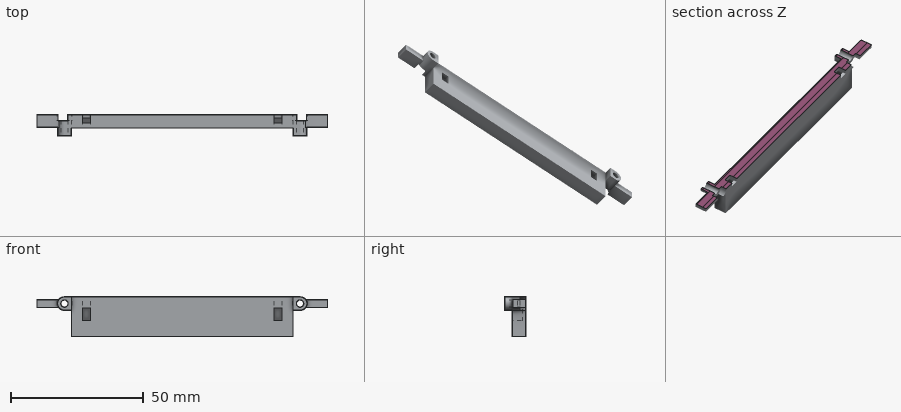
import cadquery as cq

total_length = 109.5
total_depth = 8.0

plate_length = 83.5
plate_thickness = 5.1
plate_height = 15.0

hinge_offset = 44.4
lug_diameter = 5.1
hinge_hole_diameter = 2.6
clearance_radius = 2.8
clearance_depth = 2.3

arm_thickness = 4.8
arm_height = 3.1

pocket_center = 36.0
pocket_width = 3.0
lip_thickness = 1.2
slot_back_depth = 3.2
window_top = 4.3
window_bottom = 8.9

lug_radius = lug_diameter / 2
hinge_z = -lug_radius
plate_end = plate_length / 2


def block(x_range, depth_range, drop_range):
    """Box between two X values, two depths from the back and two drops from the top."""
    x_start, x_end = x_range
    back, front = depth_range
    top, bottom = drop_range
    size = (x_end - x_start, front - back, bottom - top)
    return cq.Workplane("XY").box(*size, centered=False).translate((x_start, -front, -bottom))


def hinge_cylinder(radius, back, front):
    """Cylinder on the right hinge axis between two depths from the back."""
    return (
        cq.Workplane("XZ", origin=(hinge_offset, -back, hinge_z))
        .circle(radius)
        .extrude(front - back)
    )


def right_hinge():
    """Arm and lug with a round clearance behind the lug for a mating hinge."""
    arm_top = lug_radius - arm_height / 2
    arm = block((hinge_offset, total_length / 2), (0, arm_thickness), (arm_top, arm_top + arm_height))
    lug_root = block((plate_end, hinge_offset), (0, total_depth), (0, lug_diameter))
    lug = hinge_cylinder(lug_radius, clearance_depth, total_depth)
    return arm.union(lug_root).union(lug)


def right_hinge_cuts():
    """Hinge pin hole and the round clearance behind the lug."""
    hole = hinge_cylinder(hinge_hole_diameter / 2, 0, total_depth)
    clearance = hinge_cylinder(clearance_radius, 0, clearance_depth)
    return hole.union(clearance)


def right_pocket():
    """Open back notch, a deeper slot in front of its lip, and a window to the front face."""
    x_range = (pocket_center - pocket_width / 2, pocket_center + pocket_width / 2)
    notch = block(x_range, (0, slot_back_depth), (0, window_top))
    slot = block(x_range, (lip_thickness, slot_back_depth), (0, window_bottom))
    window = block(x_range, (lip_thickness, plate_thickness), (window_top, window_bottom))
    return notch.union(slot).union(window)


def both_ends(shape):
    """The shape together with its mirror image at the left end."""
    return shape.union(shape.mirror("YZ"))


plate = block((-plate_end, plate_end), (0, plate_thickness), (0, plate_height))
body = plate.union(both_ends(right_hinge()))
result = body.cut(both_ends(right_hinge_cuts())).cut(both_ends(right_pocket()))